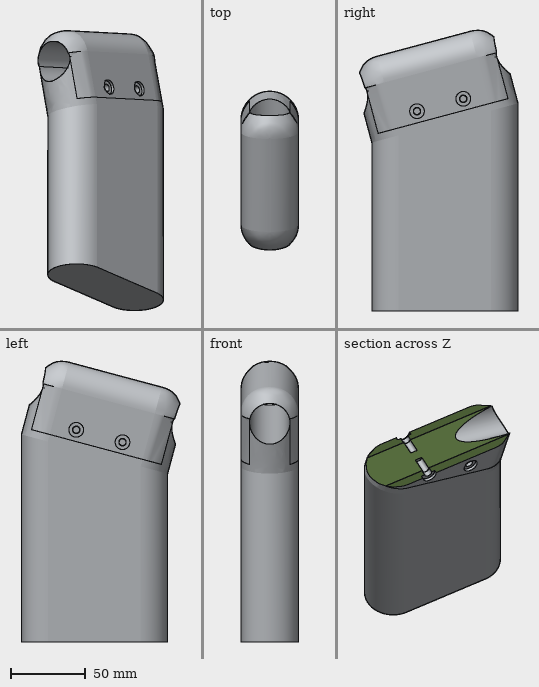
import cadquery as cq

width = 38.5
flat_length = 62.0
end_bulge = 17.9
lean_angle = 15.0
joint_height = 125.5
head_height = 55.0
top_fillet = 18.4

bore_diameter = 27.0
bore_height = 34.0
shoulder_height = 5.0

screw_spacing = 32.0
screw_height = 12.6
head_recess_diameter = 9.8
head_recess_depth = 2.0
clearance_diameter = 5.0
pilot_diameter = 4.5
pilot_depth = 10.0

half_width = width / 2
half_flat = flat_length / 2
half_length = half_flat + end_bulge
leg_thickness = (width - bore_diameter) / 2

reach = 2 * (joint_height + head_height)


def lean(body):
    """Move a body from the head's own upright frame to its leaning place on the grip."""
    return body.rotate((0, 0, 0), (1, 0, 0), lean_angle).translate((0, 0, joint_height))


def grip_column():
    """Upright bar with flat sides and bulged ends, cut off above by the leaning joint plane."""
    bar = (
        cq.Workplane("XY")
        .moveTo(half_width, -half_flat)
        .lineTo(half_width, half_flat)
        .threePointArc((0, half_length), (-half_width, half_flat))
        .lineTo(-half_width, -half_flat)
        .threePointArc((0, -half_length), (half_width, -half_flat))
        .close()
        .extrude(joint_height + half_length)
    )
    above_joint = cq.Workplane("XY").box(reach, reach, reach, centered=(True, True, False))
    return bar.cut(lean(above_joint))


def head_prism(height):
    """Prism on the joint plane, in the head frame, with the outline of the grip's sloping top."""
    joint_face = grip_column().faces(">Z").val()
    joint_outline = (
        joint_face.outerWire()
        .translate(cq.Vector(0, 0, -joint_height))
        .rotate(cq.Vector(0, 0, 0), cq.Vector(1, 0, 0), -lean_angle)
    )
    return cq.Workplane("XY").add(joint_outline).toPending().extrude(height)


def head_block():
    """Head with its whole upper rim rounded."""
    return head_prism(head_height).faces(">Z").edges().fillet(top_fillet)


def tongue_slot():
    """Straight channel as wide as the bore, open below, that the cap straddles."""
    return cq.Workplane("XY").box(
        bore_diameter, reach, bore_height, centered=(True, True, False)
    )


def bore():
    """Long cylinder along the head; its lower half lies in the tongue, its upper half in the cap."""
    return (
        cq.Workplane("XZ")
        .center(0, bore_height)
        .circle(bore_diameter / 2)
        .extrude(reach / 2, both=True)
    )


def screw_cylinders(side, diameter, start_depth, end_depth):
    """Pair of screw cylinders on one side face, between two depths below that face."""
    cylinders = (
        cq.Workplane("YZ")
        .workplane(offset=half_width - end_depth)
        .pushPoints([(-screw_spacing / 2, screw_height), (screw_spacing / 2, screw_height)])
        .circle(diameter / 2)
        .extrude(end_depth - start_depth)
    )
    return cylinders if side > 0 else cylinders.mirror("YZ")


def build_cap():
    """Rounded cap whose two legs stand on the grip's shoulders."""
    cap = head_block().cut(head_prism(shoulder_height)).cut(tongue_slot()).cut(bore())
    for side in (-1, 1):
        cap = cap.cut(screw_cylinders(side, head_recess_diameter, 0, head_recess_depth))
        cap = cap.cut(screw_cylinders(side, clearance_diameter, 0, leg_thickness))
    return lean(cap)


def leg_gap(side):
    """Space beside the tongue and above the shoulder that one cap leg fills."""
    gap = (
        cq.Workplane("XY")
        .box(reach, reach, reach, centered=(False, True, False))
        .translate((bore_diameter / 2, 0, shoulder_height))
    )
    return gap if side > 0 else gap.mirror("YZ")


def build_grip():
    """Grip column with shoulders and a tongue that ends in the lower half of the bore."""
    top = head_prism(bore_height).cut(bore())
    pilot_end = leg_thickness + pilot_depth
    for side in (-1, 1):
        top = top.cut(leg_gap(side))
        top = top.cut(screw_cylinders(side, pilot_diameter, leg_thickness, pilot_end))
    return grip_column().union(lean(top))


grip = build_grip()
cap = build_cap()

result = cq.Compound.makeCompound([grip.solids().val(), cap.solids().val()])